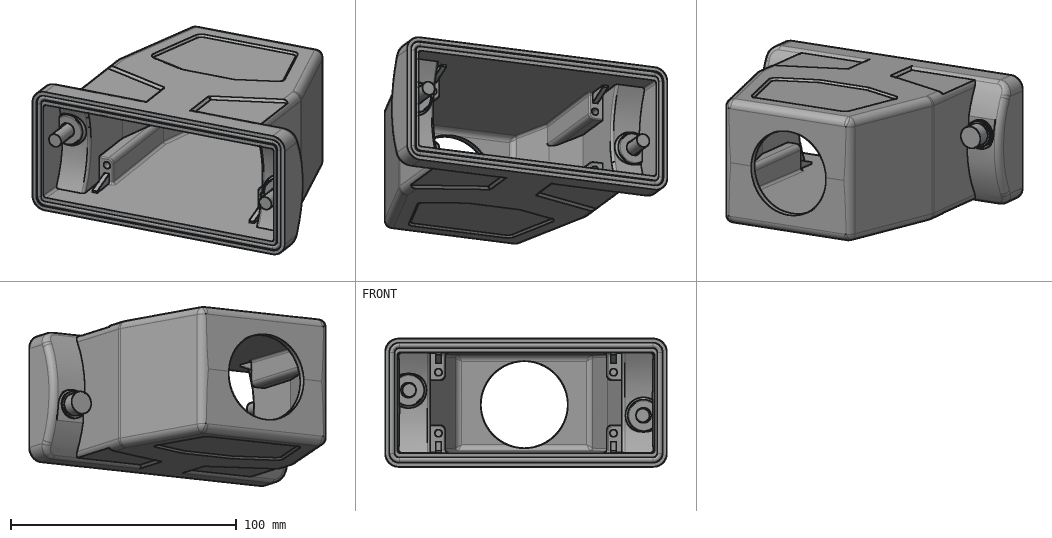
import cadquery as cq
import math

WIDTH = 125.0
HEIGHT = 57.0
LENGTH = 100.0
FLANGE_CORNER_R = 6.2
FLANGE_CREST_Y = 20.2
FLANGE_ARCH_R = 48.0
FLANGE_EDGE_R = 3.0

HOOD_HALF_WIDTH = 45.6
HOOD_BEND_Y = 50.0
HOOD_BEND_R = 5.0
HOOD_EDGE_R = 3.8
HOOD_CORNER_R = 4.2
HOOD_SIDE_ANGLE = 15.0
HOOD_BACK_CROWN = 0.2
WALL = 3.1

MOUTH_HALF_WIDTH = 57.0
MOUTH_HALF_HEIGHT = 22.3
CEILING_HALF_WIDTH = 55.9
MOUTH_CORNER_R = 1.2
CAVITY_BACK_HALF_HEIGHT = 21.2
CAVITY_BACK_EDGE_R = 2.8
CEILING_LIP_R = 1.2
LEFT_BACK_X = 30.8
RIGHT_BEND_X = 36.1
RIGHT_BACK_X = 28.8

ENTRY_DIA = 38.5
ENTRY_X = -0.75
ENTRY_Z = -0.85

GROOVE_INSET = 1.9
GROOVE_WIDTH = 2.4
GROOVE_DEPTH = 2.4

RECESS_DEPTH = 1.2
RECESS_WALL = 1.3
RECESS_ANGLE = 20.0
RIB_HALF_WIDTH = 10.9
LOWER_RECESS_INNER_Y = 28.6
PANEL_DEPTH = 1.0
PANEL_WALL = 1.0
PANEL_TOP_Y = 90.3
PANEL_BOTTOM_Y = 50.1
PANEL_TOP_HALF = 24.8
PANEL_BOTTOM_HALF = 12.4
PANEL_CORNER_R = 2.5

BLOCK_FRONT_Y = 26.6
BLOCK_INNER_X = 35.8
BLOCK_INNER_Z = 9.9
BLOCK_CORNER_R = 2.5
BLOCK_FRONT_R = 0.6
BLOCK_FOOT_R = 1.2
BLOCK_HOLE_X = 38.8
BLOCK_HOLE_Z = 13.5
BLOCK_HOLE_DIA = 3.2
BLOCK_HOLE_DEPTH = 10.0
GUSSET_WIDTH = 2.4
GUSSET_TOP_Z = 17.4
GUSSET_TIP_Y = 14.5
GUSSET_TIP_HEIGHT = 1.0

SEAT_X = 52.1
PIN_X = 51.75
PIN_Z = 5.6
PIN_HOLE_DIA = 6.7
BOSS_DIA = 14.0
BOSS_FOOT_R = 1.0
BOSS_RIM_R = 0.4
BOSS_FACE_Y = 14.0
SEAT_Y = 18.5
PIN_SHAFT_DIA = 6.0
PIN_TIP_Y = {-1: 1.0, 1: 2.2}
PIN_HEAD_DIA = 10.0
PIN_END_Y = 27.5
COLLAR_DIA = 12.0
COLLAR_Y = 20.25
COLLAR_THICKNESS = 0.85
WASHER_THICKNESS = 1.3

HALF_WIDTH = WIDTH / 2
HALF_HEIGHT = HEIGHT / 2
SLOPE = math.tan(math.radians(HOOD_SIDE_ANGLE))
HALF_SLOPE = math.tan(math.radians(HOOD_SIDE_ANGLE / 2))
CEILING_R = FLANGE_ARCH_R - WALL
ARCH_CENTRE_Y = FLANGE_CREST_Y - FLANGE_ARCH_R
SIDES = (-1, 1)


def along_y(start_y):
    """Sketch plane with local X = X and local Y = Z, extruding toward +Y from start_y."""
    return cq.Workplane(cq.Plane(origin=(0, start_y, 0), xDir=(1, 0, 0), normal=(0, 1, 0)))


def rounded_bar(half_x, half_z, corner_r, start_y, depth):
    bar = cq.Workplane("XY").box(2 * half_x, depth, 2 * half_z).edges("|Y").fillet(corner_r)
    return bar.translate((0, start_y + depth / 2, 0))


def cylinder_y(dia, x, z, start_y, end_y):
    return cq.Workplane(
        cq.Solid.makeCylinder(dia / 2, end_y - start_y, cq.Vector(x, start_y, z), cq.Vector(0, 1, 0))
    )


def arch_bar(radius):
    """Long cylinder along X whose upper side forms the flange arch."""
    return cq.Workplane(
        cq.Solid.makeCylinder(
            radius, WIDTH, cq.Vector(-HALF_WIDTH, ARCH_CENTRE_Y, 0), cq.Vector(1, 0, 0)
        )
    )


def across_z(points, half_height):
    return cq.Workplane("XY").polyline(points).close().extrude(half_height, both=True)


def across_x(points):
    return cq.Workplane("YZ").polyline(points).close().extrude(HALF_WIDTH, both=True)


def flange():
    body = rounded_bar(HALF_WIDTH, HALF_HEIGHT, FLANGE_CORNER_R, 0, FLANGE_CREST_Y)
    body = body.intersect(arch_bar(FLANGE_ARCH_R))
    body = body.faces("%CYLINDER").faces(">Y").edges().fillet(FLANGE_EDGE_R)
    for side in SIDES:
        seat = cylinder_y(BOSS_DIA, side * SEAT_X, -side * PIN_Z, SEAT_Y, FLANGE_CREST_Y)
        seat_mouth = cq.Workplane("XY").box(
            BOSS_DIA, FLANGE_CREST_Y - SEAT_Y, HALF_HEIGHT
        ).translate((
            side * SEAT_X, (FLANGE_CREST_Y + SEAT_Y) / 2, -side * (PIN_Z + HALF_HEIGHT / 2)
        ))
        body = body.cut(seat).cut(seat_mouth)
    return body


def hood():
    back_half = HOOD_HALF_WIDTH - (LENGTH - HOOD_BEND_Y) * SLOPE
    outline = [
        (-HOOD_HALF_WIDTH, 0), (HOOD_HALF_WIDTH, 0), (HOOD_HALF_WIDTH, HOOD_BEND_Y),
        (back_half, LENGTH), (-back_half, LENGTH), (-HOOD_HALF_WIDTH, HOOD_BEND_Y),
    ]
    body = across_z(outline, HALF_HEIGHT)
    bends = cq.selectors.BoxSelector(
        (-HALF_WIDTH, HOOD_BEND_Y - 1, -1), (HALF_WIDTH, HOOD_BEND_Y + 1, 1)
    )
    body = body.edges(bends).fillet(HOOD_BEND_R)
    body = body.faces(">Y").edges("|Z").fillet(HOOD_CORNER_R)
    edge_y = LENGTH - HOOD_BACK_CROWN
    crowned = across_x([
        (0, -HALF_HEIGHT), (edge_y, -HALF_HEIGHT), (LENGTH, 0), (edge_y, HALF_HEIGHT), (0, HALF_HEIGHT),
    ])
    body = body.intersect(crowned)
    body = body.faces(">Z or <Z").edges("not <Y").fillet(HOOD_EDGE_R)
    for face in SIDES:
        body = body.cut(panel_recess(face))
        for side in SIDES:
            body = body.cut(lower_recess(side, face))
    return body


def sunk(outline, depth, wall, face):
    """Recess into a broad face: an outline at the floor that widens toward the face."""
    flare = math.degrees(math.atan(wall / depth))
    floor = cq.Workplane("XY").workplane(offset=HALF_HEIGHT - depth)
    recess = floor.placeSketch(outline).extrude(depth, taper=-flare)
    return recess if face > 0 else recess.mirror("XY")


def panel_recess(face):
    rise = math.tan(math.radians(RECESS_ANGLE))
    top_half = PANEL_TOP_HALF - PANEL_WALL
    top_y = PANEL_TOP_Y - PANEL_WALL
    bottom_y = PANEL_BOTTOM_Y + PANEL_WALL
    corner_x = (top_half + (top_y - bottom_y + PANEL_BOTTOM_HALF * rise) * SLOPE) / (1 + rise * SLOPE)
    corner_y = bottom_y + (corner_x - PANEL_BOTTOM_HALF) * rise
    half = [(top_half, top_y), (corner_x, corner_y), (PANEL_BOTTOM_HALF, bottom_y)]
    points = half + [(-x, y) for x, y in reversed(half)]
    sketch = cq.Sketch().polygon(points + points[:1])
    sketch = sketch.vertices(">Y or >X or <X").fillet(PANEL_CORNER_R)
    return sunk(sketch, PANEL_DEPTH, PANEL_WALL, face)


def lower_recess(side, face):
    rise = math.tan(math.radians(RECESS_ANGLE))
    inner_x = RIB_HALF_WIDTH + RECESS_WALL
    outer_x = HOOD_HALF_WIDTH + RECESS_WALL
    inner_y = LOWER_RECESS_INNER_Y - RECESS_WALL
    outer_y = inner_y + (outer_x - inner_x) * rise
    points = [(inner_x, 0), (outer_x, 0), (outer_x, outer_y), (inner_x, inner_y)]
    points = [(side * x, y) for x, y in points]
    return sunk(cq.Sketch().polygon(points + points[:1]), RECESS_DEPTH, RECESS_WALL, face)


def centre_rib():
    """Strip that keeps the middle of the hood flush with the flange."""
    return cq.Workplane("XY").box(2 * RIB_HALF_WIDTH, FLANGE_CREST_Y, HEIGHT).translate(
        (0, FLANGE_CREST_Y / 2, 0)
    )


def cavity():
    half = HOOD_HALF_WIDTH - WALL
    back_y = LENGTH - WALL
    bend_y = HOOD_BEND_Y - WALL * HALF_SLOPE
    right_bend_y = bend_y + (half - RIGHT_BEND_X) / SLOPE
    hood_room = across_z([
        (-half, 0), (half, 0), (half, bend_y), (RIGHT_BEND_X, right_bend_y),
        (RIGHT_BACK_X, back_y), (-LEFT_BACK_X, back_y), (-half, bend_y),
    ], MOUTH_HALF_HEIGHT)
    height_taper = across_x([
        (0, -MOUTH_HALF_HEIGHT), (0, MOUTH_HALF_HEIGHT),
        (back_y, CAVITY_BACK_HALF_HEIGHT), (back_y, -CAVITY_BACK_HALF_HEIGHT),
    ])
    hood_room = hood_room.intersect(height_taper)
    hood_room = hood_room.faces(">Y").edges().fillet(CAVITY_BACK_EDGE_R)
    mouth_room = across_z([
        (-MOUTH_HALF_WIDTH, 0), (MOUTH_HALF_WIDTH, 0),
        (CEILING_HALF_WIDTH, FLANGE_CREST_Y), (-CEILING_HALF_WIDTH, FLANGE_CREST_Y),
    ], MOUTH_HALF_HEIGHT).intersect(height_taper)
    mouth_room = mouth_room.edges("not #Y").fillet(MOUTH_CORNER_R).intersect(arch_bar(CEILING_R))
    lips = cq.selectors.BoxSelector((-half - 1, 1, -1), (half + 1, FLANGE_CREST_Y, 1))
    room = mouth_room.union(hood_room).clean().edges(lips).fillet(CEILING_LIP_R)
    for side in SIDES:
        room = room.cut(seat_boss(side))
        for level in SIDES:
            room = room.cut(guide_block(side, level))
    foot_z = MOUTH_HALF_HEIGHT - BLOCK_FOOT_R
    for level in SIDES:
        feet = cq.selectors.BoxSelector(
            (-BLOCK_INNER_X - 0.1, BLOCK_FRONT_Y + 1, level * foot_z),
            (BLOCK_INNER_X + 0.1, back_y - 2 * CAVITY_BACK_EDGE_R, level * MOUTH_HALF_HEIGHT),
        )
        room = room.edges(feet).fillet(BLOCK_FOOT_R)
    return room


def seat_boss(side):
    """Boss under the flange ceiling, standing on a concave foot."""
    x = side * SEAT_X
    z = -side * PIN_Z
    foot_y = FLANGE_CREST_Y - WALL - 2 * BOSS_FOOT_R
    radius = BOSS_DIA / 2
    profile = (
        cq.Workplane("XY")
        .moveTo(0, BOSS_FACE_Y)
        .lineTo(radius - BOSS_RIM_R, BOSS_FACE_Y)
        .radiusArc((radius, BOSS_FACE_Y + BOSS_RIM_R), -BOSS_RIM_R)
        .lineTo(radius, foot_y)
        .radiusArc((radius + BOSS_FOOT_R, foot_y + BOSS_FOOT_R), -BOSS_FOOT_R)
        .lineTo(radius + BOSS_FOOT_R, SEAT_Y)
        .lineTo(0, SEAT_Y)
        .close()
    )
    return profile.revolve(360, (0, 0, 0), (0, 1, 0)).translate((x, 0, z))


def guide_block(side, level):
    """Drilled block in a corner of the hood, with a gusset running toward the mouth."""
    outer_x = HOOD_HALF_WIDTH
    outer_z = HALF_HEIGHT
    depth = LENGTH - WALL - BLOCK_FRONT_Y
    block = cq.Workplane("XY").box(
        outer_x - BLOCK_INNER_X, depth, outer_z - BLOCK_INNER_Z
    ).edges("|Y and <X and <Z").fillet(BLOCK_CORNER_R).translate((
        (outer_x + BLOCK_INNER_X) / 2, BLOCK_FRONT_Y + depth / 2, (outer_z + BLOCK_INNER_Z) / 2
    ))
    front_edges = cq.selectors.BoxSelector(
        (BLOCK_INNER_X - 1, BLOCK_FRONT_Y - 1, BLOCK_INNER_Z - 1),
        (outer_x - 1, BLOCK_FRONT_Y + 1, outer_z - 1),
    )
    block = block.edges(front_edges).fillet(BLOCK_FRONT_R)
    block = block.cut(cylinder_y(
        BLOCK_HOLE_DIA, BLOCK_HOLE_X, BLOCK_HOLE_Z, BLOCK_FRONT_Y, BLOCK_FRONT_Y + BLOCK_HOLE_DEPTH
    ))
    gusset = cq.Workplane("YZ").workplane(offset=BLOCK_HOLE_X).polyline([
        (GUSSET_TIP_Y, outer_z), (GUSSET_TIP_Y, MOUTH_HALF_HEIGHT - GUSSET_TIP_HEIGHT),
        (BLOCK_FRONT_Y, GUSSET_TOP_Z), (BLOCK_FRONT_Y, outer_z),
    ]).close().extrude(GUSSET_WIDTH / 2, both=True)
    block = block.union(gusset)
    if side < 0:
        block = block.mirror("YZ")
    if level < 0:
        block = block.mirror("XY")
    return block


def seal_groove():
    outer = rounded_bar(
        HALF_WIDTH - GROOVE_INSET, HALF_HEIGHT - GROOVE_INSET,
        FLANGE_CORNER_R - GROOVE_INSET, 0, GROOVE_DEPTH,
    )
    inset = GROOVE_INSET + GROOVE_WIDTH
    inner = rounded_bar(
        HALF_WIDTH - inset, HALF_HEIGHT - inset, FLANGE_CORNER_R - inset, 0, GROOVE_DEPTH
    )
    return outer.cut(inner)


def make_housing():
    body = flange().union(hood()).union(centre_rib())
    body = body.cut(cavity()).cut(seal_groove())
    body = body.cut(cylinder_y(ENTRY_DIA, ENTRY_X, ENTRY_Z, HOOD_BEND_Y, LENGTH))
    for side in SIDES:
        body = body.cut(cylinder_y(PIN_HOLE_DIA, side * SEAT_X, -side * PIN_Z, 0, FLANGE_CREST_Y))
    return body


def make_gasket():
    """Seal filling the groove, with a half-round crown at the mouth."""
    radius = GROOVE_WIDTH / 2
    inset = GROOVE_INSET + radius
    half_x = HALF_WIDTH - inset
    half_z = HALF_HEIGHT - inset
    path = (
        along_y(0)
        .placeSketch(cq.Sketch().rect(2 * half_x, 2 * half_z).vertices().fillet(FLANGE_CORNER_R - inset))
        .extrude(GROOVE_DEPTH).faces("<Y").wires()
    )
    section = (
        cq.Workplane("YZ")
        .moveTo(GROOVE_DEPTH, half_z - radius)
        .lineTo(radius, half_z - radius)
        .threePointArc((0, half_z), (radius, half_z + radius))
        .lineTo(GROOVE_DEPTH, half_z + radius)
        .close()
    )
    return section.sweep(path)


def make_pin(side):
    x = side * PIN_X
    z = -side * PIN_Z
    shaft = cylinder_y(PIN_SHAFT_DIA, x, z, PIN_TIP_Y[side], COLLAR_Y)
    collar = cylinder_y(COLLAR_DIA, x, z, COLLAR_Y, COLLAR_Y + COLLAR_THICKNESS)
    head = cylinder_y(PIN_HEAD_DIA, x, z, COLLAR_Y + COLLAR_THICKNESS, PIN_END_Y)
    return shaft.union(collar).union(head)


def make_washer(side):
    """Washer lying on the pin seat, just short of the pin collar."""
    x = side * PIN_X
    z = -side * PIN_Z
    disc = cylinder_y(COLLAR_DIA, x, z, SEAT_Y, SEAT_Y + WASHER_THICKNESS)
    return disc.cut(cylinder_y(PIN_SHAFT_DIA, x, z, SEAT_Y, SEAT_Y + WASHER_THICKNESS))


housing = make_housing()
gasket = make_gasket()
pins = [make_pin(side) for side in SIDES]
washer = make_washer(-1)

result = cq.Compound.makeCompound(
    [housing.val(), gasket.val(), *[pin.val() for pin in pins], washer.val()]
)